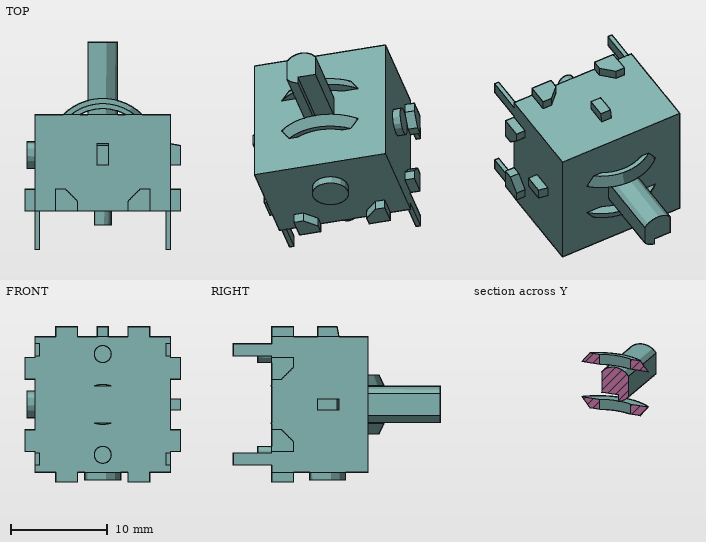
import cadquery as cq
import math

total_length = 21.45
total_width = 16.09

body_width = 14.05
body_depth = 9.97
body_half = body_width / 2

terminal_length = 4.0
terminal_thickness = 0.5
terminal_width = 1.29
terminal_center_z = 5.65

pad_size = 2.27
pad_chamfer = 1.27
pad_outer_edge = 4.87
pad_height = (total_width - body_width) / 2

pin_radius = 0.88
pin_length = 1.45
pin_center_z = 5.21

pivot_y = 5.8
button_height = 0.82
left_button_radius = 1.4
bottom_button_radius = 1.87

key_width = 1.15
key_front_y = 4.76
key_root_back_y = 6.97
key_tip_back_y = 6.78

yoke_gap_half = 1.93
yoke_outer_z = 3.07
yoke_root_radius = 5.85
yoke_rim_radius = 5.32
yoke_bore_radius = 4.8

lever_radius = 1.9
lever_flat_width = 3.07
lever_step_x = 0.35
lever_tip_y = total_length - terminal_length


def bar_along_y(radius, y_start, y_end, center_z=0):
    """Round bar parallel to Y between two Y positions."""
    return (
        cq.Workplane("XZ", origin=(0, y_start, center_z))
        .circle(radius)
        .extrude(y_start - y_end)
    )


def turned_to_side(shape, angle):
    """Turn a feature of the +Z side about the Y axis to another side."""
    return shape.rotate((0, 0, 0), (0, 1, 0), angle)


def side_pad():
    """Pad on the +Z side at positive X, chamfered on its inner back corner."""
    inner_edge = pad_outer_edge - pad_size
    return (
        cq.Workplane("XY", origin=(0, 0, body_half))
        .moveTo(pad_outer_edge, 0)
        .lineTo(pad_outer_edge, pad_size)
        .lineTo(inner_edge + pad_chamfer, pad_size)
        .lineTo(inner_edge, pad_size - pad_chamfer)
        .lineTo(inner_edge, 0)
        .close()
        .extrude(pad_height)
    )


def key():
    """Key on the +Z side with a sloping back face."""
    key_tip_z = body_half + pad_height
    return (
        cq.Workplane("YZ", origin=(-key_width / 2, 0, 0))
        .moveTo(key_front_y, body_half)
        .lineTo(key_root_back_y, body_half)
        .lineTo(key_tip_back_y, key_tip_z)
        .lineTo(key_front_y, key_tip_z)
        .close()
        .extrude(key_width)
    )


def button(radius):
    """Round button on the +Z side, centred on the pivot height."""
    return (
        cq.Workplane("XY", origin=(0, pivot_y, body_half))
        .circle(radius)
        .extrude(button_height)
    )


def yoke_ring():
    """Upper yoke ring, revolved about the pivot axis."""
    return (
        cq.Workplane("XZ", origin=(0, pivot_y, 0))
        .moveTo(yoke_bore_radius, yoke_gap_half)
        .lineTo(yoke_root_radius, yoke_gap_half)
        .lineTo(yoke_rim_radius, yoke_outer_z)
        .lineTo(yoke_bore_radius, yoke_outer_z)
        .close()
        .revolve(axisStart=(0, 0), axisEnd=(0, 1))
    )


def lever():
    """Lever bar with two side flats and its lower left edge stepped away."""
    flat_edge_z = math.sqrt(lever_radius**2 - (lever_flat_width / 2) ** 2)
    length = lever_tip_y - body_depth
    bar = bar_along_y(lever_radius, body_depth, lever_tip_y)
    flats = cq.Workplane("XY", origin=(0, body_depth, 0)).box(
        lever_flat_width, length, 2 * lever_radius, centered=(True, False, True)
    )
    step = (
        cq.Workplane("XZ", origin=(0, body_depth, 0))
        .moveTo(-lever_radius, -lever_radius)
        .lineTo(lever_step_x, -lever_radius)
        .lineTo(lever_step_x, -flat_edge_z)
        .lineTo(-lever_radius, -flat_edge_z)
        .close()
        .extrude(-length)
    )
    return bar.intersect(flats).cut(step)


def terminal(side_x, side_z):
    """Flat terminal, flush with a side of the housing."""
    center_x = side_x * (body_half - terminal_thickness / 2)
    return (
        cq.Workplane("XZ", origin=(center_x, 0, side_z * terminal_center_z))
        .rect(terminal_thickness, terminal_width)
        .extrude(terminal_length)
    )


top_side, right_side, bottom_side, left_side = 0, 90, 180, 270

housing = cq.Workplane("XY").box(
    body_width, body_depth, body_width, centered=(True, False, True)
)
result = housing.union(lever())

upper_ring = yoke_ring()
result = result.union(upper_ring).union(upper_ring.mirror("XY"))

right_pad = side_pad()
left_pad = right_pad.mirror("YZ")
for side_angle in (top_side, right_side, bottom_side, left_side):
    for pad in (right_pad, left_pad):
        result = result.union(turned_to_side(pad, side_angle))

for side_angle in (top_side, right_side):
    result = result.union(turned_to_side(key(), side_angle))

result = result.union(turned_to_side(button(bottom_button_radius), bottom_side))
result = result.union(turned_to_side(button(left_button_radius), left_side))

for side_z in (-1, 1):
    result = result.union(bar_along_y(pin_radius, 0, -pin_length, side_z * pin_center_z))
    for side_x in (-1, 1):
        result = result.union(terminal(side_x, side_z))